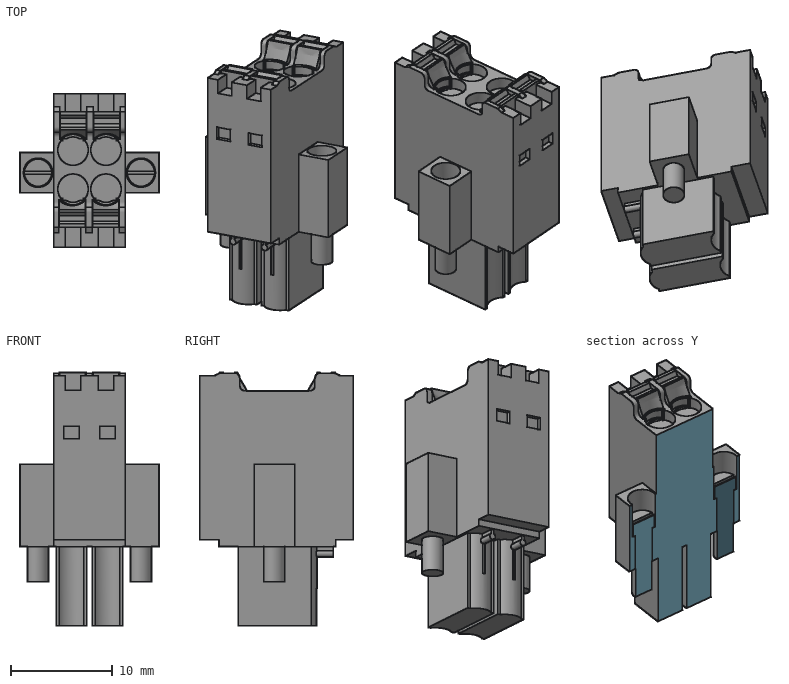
import cadquery as cq

TOTAL_HEIGHT = 25.05

BODY_WIDTH = 7.1
BODY_FRONT_Y = -7.7
BODY_BACK_Y = 7.52
BODY_TOP_Z = 24.72
SHOULDER_Z = 8.5
BASE_Z = 7.82
BASE_HALF_DEPTH = 5.79

RAIL_TOP_Z = 24.97
TROUGH_FLOOR_Z = 23.22
TROUGH_HALF_DEPTH = 3.7
TROUGH_ROUND = 0.5
RAIL_END_Y = 5.7
RAMP_LENGTH = 0.5

FLANGE_LENGTH = 3.33
FLANGE_WIDTH = 4.0
FLANGE_TOP_Z = 15.98
FLANGE_Y = -0.3
SCREW_X = 5.09
SCREW_SHAFT_DIAMETER = 2.1
SCREW_TIP_Z = 4.33
SCREW_HEAD_DIAMETER = 2.7
SCREW_HEAD_HEIGHT = 1.5
SCREW_SLOT_WIDTH = 0.33
SCREW_SLOT_DEPTH = 0.5
COUNTERBORE_DIAMETER = 2.88
COUNTERBORE_DEPTH = 4.0

SOCKET_X = 1.78
SOCKET_WIDTH = 3.05
SOCKET_HALF_DEPTH = 3.88
SOCKET_CURVE_WIDTH = 2.45
SOCKET_CURVE_DEPTH = 0.55
KEY_END_Y = 5.54
KEY_BEAD_DIAMETER = 0.65
KEY_BOTTOM_Z = 6.8
KEY_WEB_WIDTH = 0.3
SOCKET_RIB_WIDTH = 0.25
SOCKET_RIB_HEIGHT = 0.08
SOCKET_RIB_BOTTOM_Z = 3.7

WIRE_HOLE_X = 1.63
WIRE_HOLE_Y = 1.93
WIRE_HOLE_RADIUS = 1.5
WIRE_HOLE_FLOOR_Z = 22.02
POCKET_WIDTH = 2.7
POCKET_FRONT_Y = 2.98
PARTITION_FRONT_Y = 2.83
DOORWAY_WIDTH = 2.05
SLOT_WIDTH = 1.53
SLOT_FLOOR_Z = 23.3
WINDOW_X = 1.78
WINDOW_WIDTH = 1.53
WINDOW_HEIGHT = 1.25
WINDOW_BOTTOM_Z = 18.45
WINDOW_DEPTH = 0.5

LEVER_X = 1.65
LEVER_SHIFT = 0.05
LEVER_WIDTH = 2.53
LEVER_FRONT_Y = 3.03
LEVER_COLUMN_TOP_Z = 23.3
LEVER_RELIEF_Z = 23.12
LEVER_RELIEF_RADIUS = 1.6
LEVER_COLUMN_RADIUS = 1.55
FOOT_RADIUS = 1.3
FOOT_HEIGHT = 0.25
SCOOP_LOWER_MIDDLE_Y = 3.55
SCOOP_BEND_Z = 24.3
SCOOP_BEND_SIDE_Y = 3.63
SCOOP_BEND_MIDDLE_Y = 3.9
LIP_FRONT_Y = 3.95
GROOVE_TOP_START_Y = 4.2
GROOVE_FLOOR_START_Y = 4.53
GROOVE_FLOOR_END_Y = 5.09
GROOVE_TOP_END_Y = 5.35
GROOVE_DEPTH = 0.48

SIDES = (-1, 1)
LEVER_CENTERS = [side * LEVER_X + LEVER_SHIFT for side in SIDES]


def block(x_range, y_range, z_range):
    """Box between the given pairs of limits."""
    size = [high - low for low, high in (x_range, y_range, z_range)]
    return cq.Workplane("XY").box(*size, centered=False).translate((x_range[0], y_range[0], z_range[0]))


def centered_block(center_x, width, y_range, z_range):
    """Box of the given width, centred on center_x."""
    return block((center_x - width / 2, center_x + width / 2), y_range, z_range)


def cylinder(x, y, radius, z_range):
    """Upright cylinder."""
    bottom, top = z_range
    return cq.Workplane("XY", origin=(x, y, bottom)).circle(radius).extrude(top - bottom)


def opposite_row(shape):
    """The same shape turned half a turn about Z, for the terminals at the -Y side."""
    return shape.rotate((0, 0, 0), (0, 0, 1), 180)



def housing_block():
    """Main block: its side outline, with the stepped base, the rails and the trough."""
    wall_y = TROUGH_HALF_DEPTH
    r = TROUGH_ROUND
    ramp_end = RAIL_END_Y + RAMP_LENGTH
    profile = (
        cq.Workplane("YZ", origin=(-BODY_WIDTH / 2, 0, 0))
        .moveTo(-BASE_HALF_DEPTH, BASE_Z)
        .lineTo(BASE_HALF_DEPTH, BASE_Z)
        .lineTo(BASE_HALF_DEPTH, SHOULDER_Z)
        .lineTo(BODY_BACK_Y, SHOULDER_Z)
        .lineTo(BODY_BACK_Y, BODY_TOP_Z)
        .lineTo(ramp_end, BODY_TOP_Z)
        .lineTo(RAIL_END_Y, RAIL_TOP_Z)
        .lineTo(wall_y + r, RAIL_TOP_Z)
        .tangentArcPoint((wall_y, RAIL_TOP_Z - r), relative=False)
        .lineTo(wall_y, TROUGH_FLOOR_Z + r)
        .tangentArcPoint((wall_y - r, TROUGH_FLOOR_Z), relative=False)
        .lineTo(r - wall_y, TROUGH_FLOOR_Z)
        .tangentArcPoint((-wall_y, TROUGH_FLOOR_Z + r), relative=False)
        .lineTo(-wall_y, RAIL_TOP_Z - r)
        .tangentArcPoint((-wall_y - r, RAIL_TOP_Z), relative=False)
        .lineTo(-RAIL_END_Y, RAIL_TOP_Z)
        .lineTo(-ramp_end, BODY_TOP_Z)
        .lineTo(BODY_FRONT_Y, BODY_TOP_Z)
        .lineTo(BODY_FRONT_Y, SHOULDER_Z)
        .lineTo(-BASE_HALF_DEPTH, SHOULDER_Z)
        .close()
    )
    return profile.extrude(BODY_WIDTH)


def flange(side):
    """Screw flange with a counterbored hole."""
    center_x = side * (BODY_WIDTH + FLANGE_LENGTH) / 2
    y_range = (FLANGE_Y - FLANGE_WIDTH / 2, FLANGE_Y + FLANGE_WIDTH / 2)
    solid = centered_block(center_x, FLANGE_LENGTH, y_range, (BASE_Z, FLANGE_TOP_Z))
    shaft_hole = cylinder(side * SCREW_X, FLANGE_Y, SCREW_SHAFT_DIAMETER / 2, (BASE_Z, FLANGE_TOP_Z))
    counterbore_z = (FLANGE_TOP_Z - COUNTERBORE_DEPTH, FLANGE_TOP_Z)
    counterbore = cylinder(side * SCREW_X, FLANGE_Y, COUNTERBORE_DIAMETER / 2, counterbore_z)
    return solid.cut(shaft_hole).cut(counterbore)


def socket(center_x):
    """Socket with a hollowed front, a matching bulged back, a rib and a beaded key."""
    half_width = SOCKET_WIDTH / 2
    half_curve = SOCKET_CURVE_WIDTH / 2
    back_y = SOCKET_HALF_DEPTH - SOCKET_CURVE_DEPTH
    front_y = -SOCKET_HALF_DEPTH
    body = (
        cq.Workplane("XY", origin=(center_x, 0, 0))
        .moveTo(-half_width, front_y)
        .lineTo(-half_curve, front_y)
        .threePointArc((0, front_y + SOCKET_CURVE_DEPTH), (half_curve, front_y))
        .lineTo(half_width, front_y)
        .lineTo(half_width, back_y)
        .lineTo(half_curve, back_y)
        .threePointArc((0, SOCKET_HALF_DEPTH), (-half_curve, back_y))
        .lineTo(-half_width, back_y)
        .close()
        .extrude(BASE_Z)
    )
    rib_y = (0, SOCKET_HALF_DEPTH + SOCKET_RIB_HEIGHT)
    rib = centered_block(center_x, SOCKET_RIB_WIDTH, rib_y, (SOCKET_RIB_BOTTOM_Z, BASE_Z))
    bead_z = KEY_BOTTOM_Z + KEY_BEAD_DIAMETER / 2
    bead = (
        cq.Workplane("XZ", origin=(center_x, KEY_END_Y, bead_z))
        .circle(KEY_BEAD_DIAMETER / 2)
        .extrude(KEY_END_Y)
    )
    web = centered_block(center_x, KEY_WEB_WIDTH, (0, KEY_END_Y), (bead_z, BASE_Z))
    return body.union(rib).union(bead).union(web)


def outer_face_cuts(outer_y, direction):
    """Tool slots behind the levers and test windows in one outer face."""
    slot_y = sorted((direction * RAIL_END_Y, outer_y))
    window_y = sorted((outer_y - direction * WINDOW_DEPTH, outer_y))
    window_z = (WINDOW_BOTTOM_Z, WINDOW_BOTTOM_Z + WINDOW_HEIGHT)
    cuts = []
    for side in SIDES:
        cuts.append(centered_block(side * WIRE_HOLE_X, SLOT_WIDTH, slot_y, (SLOT_FLOOR_Z, TOTAL_HEIGHT)))
        cuts.append(centered_block(side * WINDOW_X, WINDOW_WIDTH, window_y, window_z))
    return cuts


def wire_hole(center_x):
    """Round wire entry, flattened by a partition whose doorway leads into the lever pocket."""
    opening_z = (WIRE_HOLE_FLOOR_Z, TOTAL_HEIGHT)
    entry = cylinder(center_x, WIRE_HOLE_Y, WIRE_HOLE_RADIUS, opening_z)
    beyond_partition_y = (PARTITION_FRONT_Y, WIRE_HOLE_Y + WIRE_HOLE_RADIUS)
    flat = centered_block(center_x, 2 * WIRE_HOLE_RADIUS, beyond_partition_y, opening_z)
    doorway = centered_block(center_x, DOORWAY_WIDTH, (WIRE_HOLE_Y, POCKET_FRONT_Y), opening_z)
    return entry.cut(flat).union(doorway)


def terminal_openings():
    """Wire hole, lever pocket and gap in the rail's end ramp for both terminals of the +Y row."""
    pocket_y = (POCKET_FRONT_Y, RAIL_END_Y)
    pocket_z = (WIRE_HOLE_FLOOR_Z, TOTAL_HEIGHT)
    ramp_y = (RAIL_END_Y, RAIL_END_Y + RAMP_LENGTH)
    ramp_z = (BODY_TOP_Z, TOTAL_HEIGHT)
    openings = []
    for side, lever_center in zip(SIDES, LEVER_CENTERS):
        openings.append(wire_hole(side * WIRE_HOLE_X))
        openings.append(centered_block(lever_center, POCKET_WIDTH, pocket_y, pocket_z))
        openings.append(centered_block(lever_center, POCKET_WIDTH, ramp_y, ramp_z))
    return openings


def make_housing():
    body = housing_block()
    for side in SIDES:
        body = body.union(flange(side)).union(socket(side * SOCKET_X))
    for opening in terminal_openings():
        body = body.cut(opening).cut(opposite_row(opening))
    for cut in outer_face_cuts(BODY_BACK_Y, 1) + outer_face_cuts(BODY_FRONT_Y, -1):
        body = body.cut(cut)
    return body



def lever_section(z, side_y, middle_y):
    """Horizontal outline of a lever head whose inner face is hollowed from side_y to middle_y."""
    half_width = LEVER_WIDTH / 2
    outline = cq.Workplane("XY", origin=(0, 0, z)).moveTo(-half_width, side_y)
    if middle_y == side_y:
        outline = outline.lineTo(half_width, side_y)
    else:
        outline = outline.threePointArc((0, middle_y), (half_width, side_y))
    return outline.lineTo(half_width, RAIL_END_Y).lineTo(-half_width, RAIL_END_Y).close().val()


def lever_groove():
    """Channel with sloping walls across the top of a lever."""
    return (
        cq.Workplane("YZ")
        .moveTo(GROOVE_TOP_START_Y, TOTAL_HEIGHT)
        .lineTo(GROOVE_FLOOR_START_Y, TOTAL_HEIGHT - GROOVE_DEPTH)
        .lineTo(GROOVE_FLOOR_END_Y, TOTAL_HEIGHT - GROOVE_DEPTH)
        .lineTo(GROOVE_TOP_END_Y, TOTAL_HEIGHT)
        .close()
        .extrude(LEVER_WIDTH / 2, both=True)
    )


def make_lever(center_x, wire_hole_x):
    """Lever of the +Y row, with its inner face hollowed around the wire hole."""
    bend = lever_section(SCOOP_BEND_Z, SCOOP_BEND_SIDE_Y, SCOOP_BEND_MIDDLE_Y)
    column_top = lever_section(LEVER_COLUMN_TOP_Z, LEVER_FRONT_Y, SCOOP_LOWER_MIDDLE_Y)
    lip = lever_section(TOTAL_HEIGHT, LIP_FRONT_Y, LIP_FRONT_Y)
    lower_head = cq.Workplane(cq.Solid.makeLoft([column_top, bend], True))
    upper_head = cq.Workplane(cq.Solid.makeLoft([bend, lip], True))
    head = lower_head.union(upper_head).cut(lever_groove()).translate((center_x, 0, 0))

    column_z = (WIRE_HOLE_FLOOR_Z, LEVER_COLUMN_TOP_Z)
    column = centered_block(center_x, LEVER_WIDTH, (LEVER_FRONT_Y, RAIL_END_Y), column_z)
    foot_top_z = WIRE_HOLE_FLOOR_Z + FOOT_HEIGHT
    hollow_steps = (
        (FOOT_RADIUS, WIRE_HOLE_FLOOR_Z, foot_top_z),
        (LEVER_COLUMN_RADIUS, foot_top_z, LEVER_RELIEF_Z),
        (LEVER_RELIEF_RADIUS, LEVER_RELIEF_Z, LEVER_COLUMN_TOP_Z),
    )
    for radius, bottom, top in hollow_steps:
        column = column.cut(cylinder(wire_hole_x, WIRE_HOLE_Y, radius, (bottom, top)))
    return column.union(head)



def make_screw(side):
    """Slotted screw seated in a flange's counterbore."""
    x = side * SCREW_X
    seat_z = FLANGE_TOP_Z - COUNTERBORE_DEPTH
    head_top_z = seat_z + SCREW_HEAD_HEIGHT
    shaft = cylinder(x, FLANGE_Y, SCREW_SHAFT_DIAMETER / 2, (SCREW_TIP_Z, seat_z))
    head = cylinder(x, FLANGE_Y, SCREW_HEAD_DIAMETER / 2, (seat_z, head_top_z))
    slot_y = (FLANGE_Y - SCREW_SLOT_WIDTH / 2, FLANGE_Y + SCREW_SLOT_WIDTH / 2)
    slot = centered_block(x, SCREW_HEAD_DIAMETER, slot_y, (head_top_z - SCREW_SLOT_DEPTH, head_top_z))
    return shaft.union(head).cut(slot)


housing = make_housing()
back_levers = [make_lever(x, side * WIRE_HOLE_X) for side, x in zip(SIDES, LEVER_CENTERS)]
front_levers = [opposite_row(lever) for lever in back_levers]
screws = [make_screw(side) for side in SIDES]

bodies = [housing, *back_levers, *front_levers, *screws]
result = cq.Compound.makeCompound([solid for body in bodies for solid in body.solids().vals()])